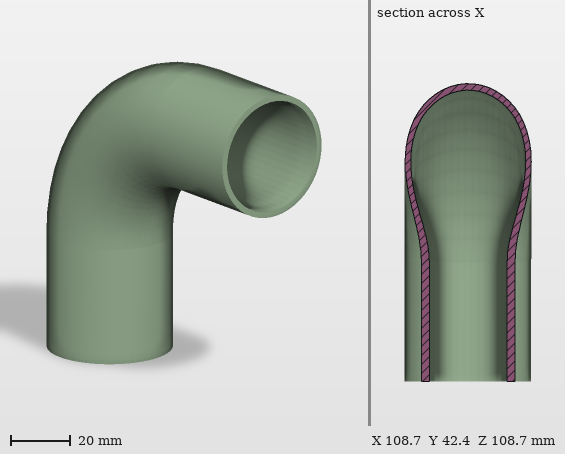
import cadquery as cq

overall_size = 108.7
outer_diameter = 42.4
bore_diameter = 38.4
straight_length = 40.0

bend_radius = overall_size - outer_diameter / 2 - straight_length


def elbow(diameter):
    """Solid round bar: up along Z, through a quarter bend, then out along +X."""
    radius = diameter / 2
    lower_leg = cq.Workplane("XY").circle(radius).extrude(straight_length)
    bend = (
        cq.Workplane("XY", origin=(0, 0, straight_length))
        .circle(radius)
        .revolve(90, (bend_radius, 0, 0), (bend_radius, 1, 0))
    )
    upper_leg = (
        cq.Workplane("YZ", origin=(bend_radius, 0, straight_length + bend_radius))
        .circle(radius)
        .extrude(straight_length)
    )
    return lower_leg.union(bend).union(upper_leg)


result = elbow(outer_diameter).cut(elbow(bore_diameter))